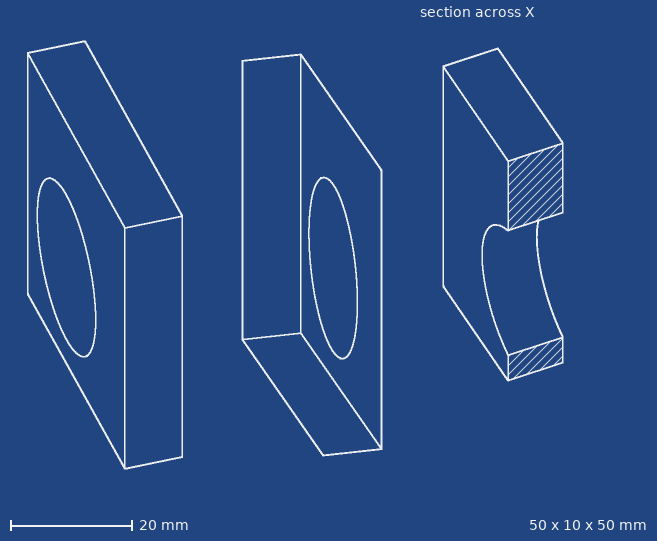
import cadquery as cq

side = 50.0
thickness = side / 5

hole_diameter = 30.0
edge_wall = 5.0
hole_center = edge_wall + hole_diameter / 2

plate = cq.Workplane("XY").box(side, thickness, side, centered=False)

hole = (
    cq.Workplane("XZ")
    .center(hole_center, hole_center)
    .circle(hole_diameter / 2)
    .extrude(-thickness)
)

result = plate.cut(hole)